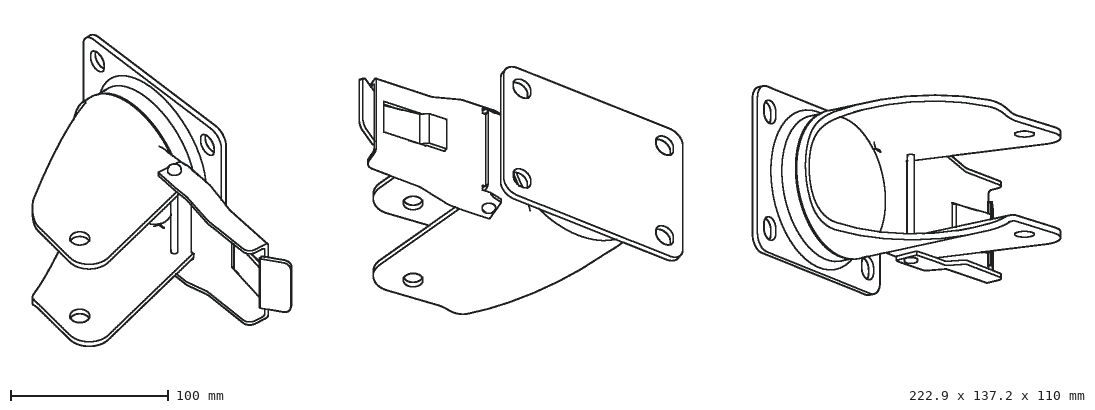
import cadquery as cq
import math


plate_length = 131.8
plate_width = 110.0
plate_thickness = 4.0
plate_corner_radius = 10.0
slot_spacing_x = 105.0
slot_spacing_z = 77.4
slot_width = 12.7
slot_length = 15.2

flange_radius = 51.5
neck_radius = 47.0
flange_end_depth = 9.4

sheet = 4.0
crown_depth = 20.0
crown_radius = 48.0
crown_edge_radius = 3.3
web_depth = 22.0
arm_half_width = 35.2
arm_bend_radius = 5.1
blend_radius = 9.4

fork_depth = 137.2
arm_reach = 100.4

skirt_depth = 28.5
skirt_corner_x = -32.3
skirt_corner_radius = 17.8
heel_corner = (25.5, -131.4)
heel_radius = 20.0
toe_corner = (92.3, -139.8)
toe_radius = 15.0
web_end_x = 64.2
axle_x = 61.8
axle_y = -120.5
axle_hole_diameter = 12.5

pivot_x = 56.2
pivot_y = -35.2
pin_diameter = 4.5
head_diameter = 8.7
head_height = 3.0
head_edge_radius = 1.8
tail_height = 1.5
tail_edge_radius = 1.3

lever_tilt = 4.6
lever_sheet = 2.7
lever_start = -5.0
lever_end = 84.7
lever_top = 10.7
lever_bottom = -9.1
lever_bottom_at_end = -5.1
lever_taper_start = 13.4
lever_nose_drop = 2.7
lever_nose_end = 4.0
lever_end_radius = 5.5
lever_edge_radius = 2.0
lever_inner_radius = 2.2
lever_web_start = 7.4
lever_shoulder_start = 9.5
joggle_start = 24.3
joggle_end = 45.0
joggle_radius = 10.0
lever_half_width = arm_half_width + lever_sheet
lever_end_half_width = 32.0

tab_half_width = 12.7
tab_start = 36.4
tab_drop_start = 48.5
tab_drop_length = 5.4
tab_drop = 3.1
tab_slot_start = 49.7
tab_slot_end = 79.2
tab_slot_width = 26.3
tip_start = 83.0
tip_bend = 84.3
tip_bottom = 4.7
tip_half_width = 21.2
tip_length = 19.8
tip_angle = 38.6
tip_corner_radius = 5.0
tip_shoulder_radius = 1.1


def at_depth(depth):
    """Sketch plane across the swivel axis; extruding goes further down."""
    return cq.Workplane("XZ", origin=(0, -depth, 0))


def near(x, y, z=0):
    return cq.selectors.NearestToPointSelector((x, y, z))


def make_plate():
    plate = at_depth(0).rect(plate_length, plate_width).extrude(plate_thickness)
    plate = plate.edges("|Y").fillet(plate_corner_radius)
    slots = (
        at_depth(0)
        .rect(slot_spacing_x, slot_spacing_z, forConstruction=True)
        .vertices()
        .slot2D(slot_length, slot_width, 90)
        .extrude(plate_thickness)
    )
    return plate.cut(slots)


def make_neck():
    return (
        cq.Workplane("XY")
        .lineTo(flange_radius, 0)
        .lineTo(flange_radius, -plate_thickness)
        .lineTo(neck_radius, -flange_end_depth)
        .lineTo(neck_radius, -crown_depth)
        .lineTo(0, -crown_depth)
        .close()
        .revolve(360, (0, 0), (0, 1))
    )


def arm_block(radius, half_width, blend, depth, bend_radius):
    """Prism between the arm faces, blended into a cylinder at its root and rounded along the arm bends."""
    blend_x = math.sqrt((radius + blend) ** 2 - (half_width + blend) ** 2)
    share = radius / (radius + blend)
    root_x = blend_x * share
    root_z = (half_width + blend) * share
    block = (
        at_depth(depth)
        .moveTo(root_x, root_z)
        .radiusArc((blend_x, half_width), -blend)
        .lineTo(arm_reach, half_width)
        .lineTo(arm_reach, -half_width)
        .lineTo(blend_x, -half_width)
        .radiusArc((root_x, -root_z), -blend)
        .close()
        .extrude(fork_depth - depth + sheet)
    )
    for side in (1, -1):
        block = block.edges(near((blend_x + arm_reach) / 2, -depth, side * half_width)).fillet(bend_radius)
    return block


def make_fork_outside():
    crown = at_depth(crown_depth).circle(crown_radius).extrude(fork_depth - crown_depth + sheet)
    crown = crown.faces(">Y").edges().fillet(crown_edge_radius)
    return crown.union(arm_block(crown_radius, arm_half_width, blend_radius, web_depth, arm_bend_radius))


def make_fork_inside():
    radius = crown_radius - sheet
    half_width = arm_half_width - sheet
    floor_depth = crown_depth + sheet
    crown = at_depth(floor_depth).circle(radius).extrude(fork_depth)
    bend_radius = arm_bend_radius - sheet
    arms = arm_block(radius, half_width, blend_radius + sheet, web_depth + sheet, bend_radius)
    mouth = at_depth(crown_depth).center(web_end_x + arm_reach / 2, 0).rect(arm_reach, 2 * half_width)
    return crown.union(arms).union(mouth.extrude(fork_depth))


def make_step():
    """Rounded step from the crown floor down to the underside of the web."""
    floor_depth = crown_depth + sheet
    web_floor_depth = web_depth + sheet
    outer_radius = crown_radius - sheet + crown_edge_radius
    rise = crown_edge_radius - (web_floor_depth - floor_depth)
    inner_radius = outer_radius - math.sqrt(crown_edge_radius**2 - rise**2)
    step = (
        cq.Workplane("XY")
        .moveTo(0, -floor_depth)
        .lineTo(inner_radius, -floor_depth)
        .radiusArc((outer_radius, -web_floor_depth), -crown_edge_radius)
        .lineTo(0, -web_floor_depth)
        .close()
        .revolve(360, (0, 0), (0, 1))
    )
    half_width = arm_half_width - sheet
    web_area = at_depth(0).center(arm_reach / 2, 0).rect(arm_reach, half_width * 2).extrude(fork_depth)
    return step.intersect(web_area)


def make_fork_outline():
    """Side outline of the fork as a block across its whole width."""
    outline = (
        cq.Workplane("XY")
        .moveTo(-crown_radius - sheet, 0)
        .lineTo(web_end_x, 0)
        .lineTo(web_end_x, -web_depth)
        .lineTo(*toe_corner)
        .lineTo(*heel_corner)
        .lineTo(skirt_corner_x, -skirt_depth)
        .lineTo(-crown_radius - sheet, -skirt_depth)
        .close()
        .extrude(crown_radius * 2, both=True)
    )
    outline = outline.edges("|Z").edges(near(*toe_corner)).fillet(toe_radius)
    outline = outline.edges("|Z").edges(near(*heel_corner)).fillet(heel_radius)
    return outline.edges("|Z").edges(near(skirt_corner_x, -skirt_depth)).fillet(skirt_corner_radius)


def cross_rod(x, y, diameter, half_length):
    """Rod along Z, centred across the fork."""
    return cq.Workplane("XY").center(x, y).circle(diameter / 2).extrude(half_length, both=True)


def make_fork():
    fork = make_fork_outside().cut(make_fork_inside()).cut(make_step())
    fork = fork.intersect(make_fork_outline())
    return fork.cut(cross_rod(axle_x, axle_y, axle_hole_diameter, crown_radius))


def make_shank():
    return cross_rod(pivot_x, pivot_y, pin_diameter, lever_half_width)


def make_pin():
    def head(height, z):
        return cq.Workplane("XY", origin=(pivot_x, pivot_y, z)).circle(head_diameter / 2).extrude(height)

    top_head = head(head_height, lever_half_width).faces(">Z").edges().fillet(head_edge_radius)
    tail = head(-tail_height, -lever_half_width).faces("<Z").edges().fillet(tail_edge_radius)
    return make_shank().union(top_head).union(tail)


def lever_plan(inset, top):
    """Prism under the given height; its joggled sides are inset from the outside of the lever."""
    slope = math.atan2(lever_half_width - lever_end_half_width, joggle_end - joggle_start)
    shift = inset * math.tan(slope / 2)
    wide = lever_half_width - inset
    narrow = lever_end_half_width - inset
    bends = [(joggle_start - shift, wide), (joggle_end - shift, narrow)]
    side = [(lever_start, wide), *bends, (lever_end, narrow)]
    mirrored = [(x, -z) for x, z in reversed(side)]
    plan = at_depth(-top).polyline(side + mirrored).close().extrude(lever_top - lever_bottom)
    for x, z in bends:
        for sign in (1, -1):
            plan = plan.edges("|Y").edges(near(x, top - lever_top, sign * z)).fillet(joggle_radius)
    return plan


def make_lever_outline():
    outline = (
        cq.Workplane("XY")
        .moveTo(lever_start, lever_top - lever_nose_drop)
        .lineTo(lever_nose_end, lever_top)
        .lineTo(lever_end, lever_top)
        .lineTo(lever_end, lever_bottom_at_end)
        .lineTo(lever_taper_start, lever_bottom)
        .lineTo(lever_start, lever_bottom)
        .close()
        .extrude(lever_half_width, both=True)
    )
    return outline.edges("|Z").edges(near(lever_end, lever_bottom_at_end)).fillet(lever_end_radius)


def web_opening(start, end, width, middle=0):
    """Block that cuts an opening through the lever web between two distances from the pivot."""
    block = cq.Workplane("XY").box(end - start, lever_sheet * 3, width, centered=(False, True, True))
    return block.translate((start, lever_top - lever_sheet / 2, middle))


def make_channel():
    outside = lever_plan(0, lever_top)
    outside = outside.faces(">Y").edges("not(|Z)").fillet(lever_edge_radius)
    inside = lever_plan(lever_sheet, lever_top - lever_sheet)
    inside = inside.faces(">Y").edges("not(|Z)").fillet(lever_inner_radius)
    channel = outside.intersect(make_lever_outline()).cut(inside)
    channel = channel.cut(web_opening(lever_start, lever_web_start, 2 * arm_half_width))
    for side in (1, -1):
        arm_middle = side * (arm_half_width - sheet / 2)
        channel = channel.cut(web_opening(lever_start, lever_shoulder_start, sheet, arm_middle))
    return channel


def make_tab():
    """Strip lying on the web, dropping into the slot and sloping down to a wide raised tip."""
    upper = lever_top + lever_sheet
    lead = lever_sheet * math.tan(math.atan2(tab_drop, tab_drop_length) / 2)
    strip = [
        (tab_start, upper),
        (tab_drop_start, upper),
        (tab_drop_start + tab_drop_length, upper - tab_drop),
        (tip_bend, tip_bottom + lever_sheet),
        (tip_bend, tip_bottom),
        (tab_drop_start + tab_drop_length - lead, lever_top - tab_drop),
        (tab_drop_start - lead, lever_top),
        (tab_start, lever_top),
    ]
    tab = cq.Workplane("XY").polyline(strip).close().extrude(tab_half_width, both=True)
    shoulder = cq.Workplane("XY").box(
        tip_bend - tip_start, lever_sheet, 2 * tip_half_width, centered=(False, False, True)
    )
    shoulder = shoulder.edges("|Y and <X").fillet(tip_shoulder_radius)
    tip = cq.Workplane("XY").box(tip_length, lever_sheet, 2 * tip_half_width, centered=(False, False, True))
    tip = tip.edges("|Y and >X").fillet(tip_corner_radius).rotate((0, 0, 0), (0, 0, 1), tip_angle)
    tab = tab.union(shoulder.translate((tip_start, tip_bottom, 0)))
    return tab.union(tip.translate((tip_bend, tip_bottom, 0)))


def make_lever():
    slot = web_opening(tab_slot_start, tab_slot_end, tab_slot_width)
    lever = make_channel().cut(slot).union(make_tab())
    return lever.rotate((0, 0, 0), (0, 0, 1), -lever_tilt).translate((pivot_x, pivot_y, 0))


housing = make_plate().union(make_neck()).union(make_fork()).cut(make_shank())
lever = make_lever().cut(make_shank())
pin = make_pin()

result = cq.Compound.makeCompound([body.solids().val() for body in (housing, lever, pin)])